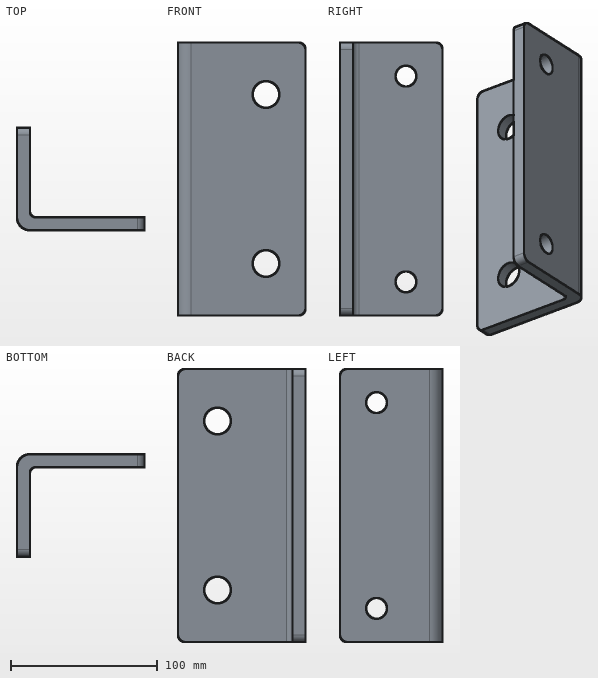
import cadquery as cq

WIDTH_X = 87.0
DEPTH_Y = 70.0
HEIGHT_Z = 186.0
THICKNESS = 9.0

OUTER_BEND_RADIUS = 9.0
INNER_BEND_RADIUS = 4.0
CORNER_RADIUS = 5.0

FRONT_HOLE_DIAMETER = 18.0
FRONT_HOLE_SPACING = 115.0
FRONT_HOLE_X = 60.0

SIDE_HOLE_DIAMETER = 14.0
SIDE_HOLE_SPACING = 140.0
SIDE_HOLE_EDGE_DISTANCE = 25.0
SIDE_HOLE_Y = DEPTH_Y - SIDE_HOLE_EDGE_DISTANCE


def angle_body():
    """L-section extruded along Z, with the outside and inside of the bend rounded."""
    profile = [
        (0, 0),
        (WIDTH_X, 0),
        (WIDTH_X, THICKNESS),
        (THICKNESS, THICKNESS),
        (THICKNESS, DEPTH_Y),
        (0, DEPTH_Y),
    ]
    body = cq.Workplane("XY").polyline(profile).close().extrude(HEIGHT_Z)
    outer_edge = cq.NearestToPointSelector((0, 0, HEIGHT_Z / 2))
    inner_edge = cq.NearestToPointSelector((THICKNESS, THICKNESS, HEIGHT_Z / 2))
    body = body.edges(inner_edge).fillet(INNER_BEND_RADIUS)
    return body.edges(outer_edge).fillet(OUTER_BEND_RADIUS)


def round_free_corners(body):
    """Round the top and bottom corners at the free end of each flange."""
    body = body.faces(">X").edges("|Y").fillet(CORNER_RADIUS)
    return body.faces(">Y").edges("|X").fillet(CORNER_RADIUS)


def hole_pair(plane, across, spacing, diameter, direction):
    """Two cylinders through one flange, centred on the mid-height of the bracket."""
    centres = [(across, HEIGHT_Z / 2 + side * spacing / 2) for side in (-1, 1)]
    return (
        cq.Workplane(plane)
        .pushPoints(centres)
        .circle(diameter / 2)
        .extrude(direction * THICKNESS)
    )


front_holes = hole_pair("XZ", FRONT_HOLE_X, FRONT_HOLE_SPACING, FRONT_HOLE_DIAMETER, -1)
side_holes = hole_pair("YZ", SIDE_HOLE_Y, SIDE_HOLE_SPACING, SIDE_HOLE_DIAMETER, 1)

result = round_free_corners(angle_body()).cut(front_holes).cut(side_holes)